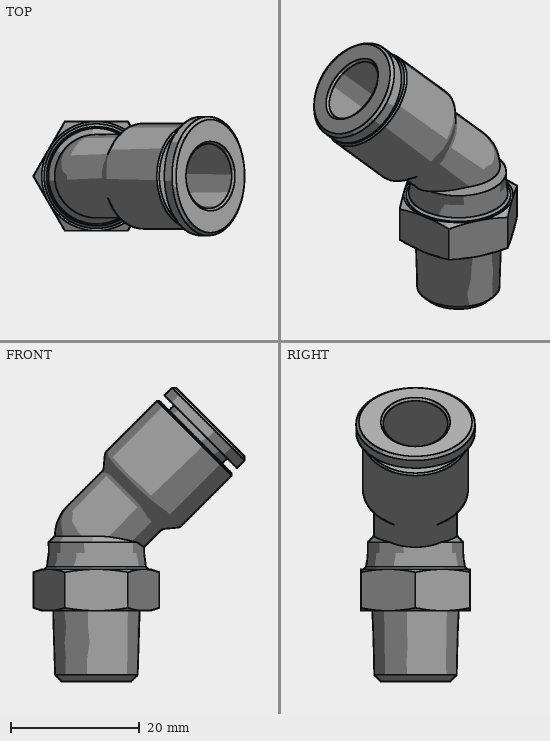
import cadquery as cq
import math

total_height = 45.65
bend_angle = 45.0
tube_radius = 6.5

thread_tip_radius = 6.45
thread_chamfer = 1.05
thread_taper = 1 / 32

hex_bottom = 11.0
hex_top = 17.45
hex_across_flats = 17.0
hex_corner_drop = 0.45

collar_radius = 7.45
collar_foot_radius = 8.13
skirt_height = 0.4
skirt_top_radius = 7.7
collar_straight_bottom = 19.95

cone_start = 8.0
cone_end = 10.1
cone_fillet = 0.9
sleeve_radius = 8.2
sleeve_end = 21.78
sleeve_chamfer = 0.27

neck_radius = 5.85
flange_start = 22.9
flange_end = 25.05
flange_width = 18.5
flange_depth = 16.0
flange_chamfer = 0.45
bore_radius = 5.0
bore_chamfer = 0.35

tilt = math.radians(bend_angle)
rim_rise = (flange_end - flange_chamfer) * math.cos(tilt) + flange_depth / 2 * math.sin(tilt)
bend_height = total_height - rim_rise


def revolved(profile):
    """Solid of revolution about Z from a list of (radius, height) points."""
    return cq.Workplane("XZ").polyline(profile).close().revolve(360, (0, 0, 0), (0, 1, 0))


def make_thread():
    thread_root_radius = thread_tip_radius + (hex_bottom - thread_chamfer) * thread_taper
    return revolved([
        (0, 0),
        (thread_tip_radius - thread_chamfer, 0),
        (thread_tip_radius, thread_chamfer),
        (thread_root_radius, hex_bottom),
        (0, hex_bottom),
    ])


def make_hexagon():
    """Hexagon with corners on X, its corners bevelled at both ends."""
    flat_radius = hex_across_flats / 2
    corner_radius = flat_radius / math.cos(math.pi / 6)
    prism = (
        cq.Workplane("XY", origin=(0, 0, hex_bottom))
        .polygon(6, 2 * corner_radius)
        .extrude(hex_top - hex_bottom)
    )
    bevelled_blank = revolved([
        (0, hex_bottom),
        (flat_radius, hex_bottom),
        (corner_radius, hex_bottom + hex_corner_drop),
        (corner_radius, hex_top - hex_corner_drop),
        (flat_radius, hex_top),
        (0, hex_top),
    ])
    return prism.intersect(bevelled_blank)


def make_collar():
    """Collar whose top bevel meets the tube at the height of the bend centre."""
    bevel = collar_radius - tube_radius
    return revolved([
        (0, hex_top),
        (collar_foot_radius, hex_top),
        (skirt_top_radius, hex_top + skirt_height),
        (collar_radius, collar_straight_bottom),
        (collar_radius, bend_height - bevel),
        (tube_radius, bend_height),
        (0, bend_height),
    ])


def make_socket():
    """Tube, cone and sleeve along Z, with the bend centre at the origin."""
    body = revolved([
        (0, 0),
        (tube_radius, 0),
        (tube_radius, cone_start),
        (sleeve_radius, cone_end),
        (sleeve_radius, sleeve_end),
        (0, sleeve_end),
    ])
    body = body.faces(">Z").edges().chamfer(sleeve_chamfer)
    around = 2 * sleeve_radius
    cone_zone = cq.selectors.BoxSelector(
        (-around, -around, cone_start - cone_fillet),
        (around, around, cone_end + cone_fillet),
    )
    body = body.edges("%CIRCLE").edges(cone_zone).fillet(cone_fillet)
    return body.union(cq.Workplane("XY").sphere(tube_radius))


def make_release_ring():
    """Round neck carrying the oval flange, wide along Y."""
    neck = (
        cq.Workplane("XY", origin=(0, 0, sleeve_end))
        .circle(neck_radius)
        .extrude(flange_start - sleeve_end)
    )
    flange = (
        cq.Workplane("XY", origin=(0, 0, flange_start))
        .ellipse(flange_depth / 2, flange_width / 2)
        .extrude(flange_end - flange_start)
        .faces(">Z").edges().chamfer(flange_chamfer)
    )
    return neck.union(flange)


def make_bore():
    """Tube bore reaching down to the foot of the sleeve, with a bevelled mouth."""
    return revolved([
        (0, cone_end),
        (bore_radius, cone_end),
        (bore_radius, flange_end - bore_chamfer),
        (bore_radius + bore_chamfer, flange_end),
        (0, flange_end),
    ])


stem = make_thread().union(make_hexagon()).union(make_collar())
tilted_end = make_socket().union(make_release_ring()).cut(make_bore())
tilted_end = tilted_end.rotate((0, 0, 0), (0, 1, 0), bend_angle).translate((0, 0, bend_height))
result = stem.union(tilted_end)